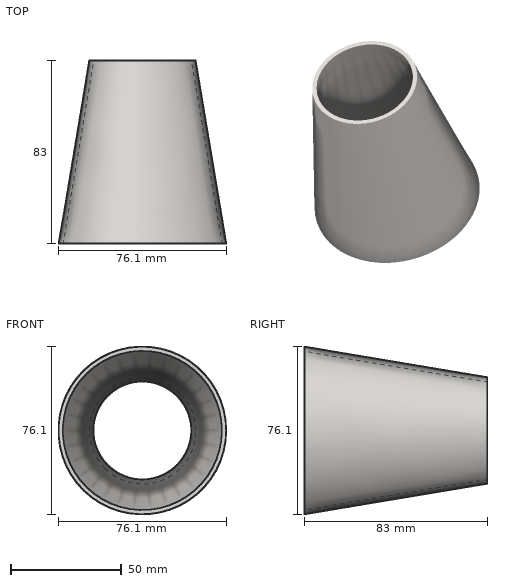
import cadquery as cq

length = 83.0
wide_diameter = 76.1
narrow_diameter = 48.3
wall = 2.0

wide_radius = wide_diameter / 2
narrow_radius = narrow_diameter / 2
wide_end = -length / 2
narrow_end = length / 2

wall_section = (
    cq.Workplane("XY")
    .moveTo(wide_radius - wall, wide_end)
    .lineTo(wide_radius, wide_end)
    .lineTo(narrow_radius, narrow_end)
    .lineTo(narrow_radius - wall, narrow_end)
    .close()
)

result = wall_section.revolve(360, (0, 0, 0), (0, 1, 0))